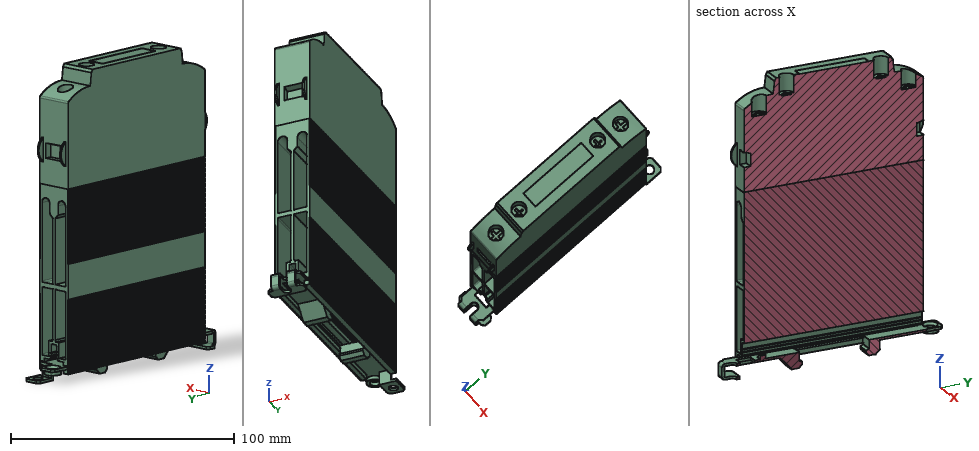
import cadquery as cq
import math

WIDTH = 17.5
DEPTH = 90.2
HEIGHT = 141.8
BRACKET_REACH = 55.0
HALF_WIDTH = WIDTH / 2
HALF_DEPTH = DEPTH / 2

HEATSINK_BOTTOM = 4.1
HEATSINK_TOP = 89.3

SHOULDER_Z = 134.4
SHOULDER_START = 30.5
SHOULDER_RADIUS = 23.4
SHOULDER_EDGE_FILLET = 1.1
BLOCK_BASE_HALF = 30.5
BLOCK_MID_HALF = 29.8
BLOCK_TOP_HALF = 28.9
BLOCK_CORNER_DROP = 1.4
LABEL_SIZE = (8.1, 34.7)
LABEL_DEPTH = 0.1

SCREW_WELL_RADIUS = 3.47
SCREW_WELL_DEPTH = 8.5
CROSS_DEPTH = 0.7
BLOCK_SCREW_Y = 23.7
BLOCK_CROSS_LENGTH = 4.5
BLOCK_CROSS_SLOTS = (1.0, 0.5)
SHOULDER_SCREW_Y = 37.5
SHOULDER_CROSS_LENGTHS = (5.1, 2 * SCREW_WELL_RADIUS)
SHOULDER_CROSS_WIDTH = 1.4

GUARD_RADIUS = 6.8
GUARD_THICKNESS = 0.9
GUARD_X = 6.8
GUARD_Z = 105.2
GUARD_REACH = 48.0
WIRE_OPENING_SIZE = (8.8, 7.0)
WIRE_OPENING_X = 0.4
WIRE_OPENING_BOTTOM = 101.5
WIRE_OPENING_DEPTH = 3.3
WIRE_OPENING_TOP_DROP = 0.9

GROOVE_PITCH = 0.77
GROOVE_COUNT = 45
GROOVE_DEPTH = 0.21

WINDOW_OUTER = 7.2
WEB_HALF = 0.7
WINDOW_FILLET = 0.5
UPPER_LOBE_INNER = 2.5
UPPER_WINDOW_TOP = 83.2
UPPER_NECK_Z = 76.5
UPPER_WINDOW_BOTTOM = 44.2
LOWER_WINDOW_TOP = 42.0
LOWER_NECK_Z = 18.7
LOWER_SHOULDER_INNER = 3.05
LOWER_SHOULDER_Z = 17.9
LOWER_WINDOW_BOTTOM = 10.6

CHANNEL_HALF = 5.88
CHANNEL_TOP = 9.4
SCREW_SLOT_HALF = 1.63
SCREW_SLOT_TOP = 16.6
SCREW_SLOT_FLARE = 1.1
THREAD_PITCH = 1.4
THREAD_COUNT = 2
THREAD_DEPTH = 0.4
THREAD_HALF = 0.21
THREAD_TOP = {-1: 13.3, 1: 12.5}

SHEET = 1.3
PLATE_TOP = 7.8
PLATE_BOTTOM = PLATE_TOP - SHEET
PLATE_HALF = 7.3
RAIL_HALF = 8.0
BEND_RADIUS = 1.7
CORNER = 1.3

FRONT_NECK = -51.6
LIP_END = -47.1
FOOT_SLOT_HALF = 2.0
FOOT_SLOT_END = -48.6
WINDOW_CUT_HALF = 3.9
WINDOW_CUT_Y = (-46.8, -39.7)
BUMP_BASE_HALF = 2.7
BUMP_TOP_HALF = 1.3
BUMP_HEIGHT = 1.7
BUMP_Y = (-36.9, -34.0)
FRONT_HOOK = [
    (-17.2, PLATE_TOP), (-17.2, 3.5), (-15.7, 3.0), (-15.7, 1.7),
    (-17.5, 0), (-21.0, 0), (-21.0 - PLATE_TOP * 0.9, PLATE_TOP),
]
REAR_HOOK = [
    (17.6, PLATE_TOP), (17.6, 3.5), (16.2, 2.7), (16.2, 1.7),
    (17.7, 0), (21.0, 0), (23.3, 2.1), (23.3, PLATE_TOP),
]
HOOK_HALF = CHANNEL_HALF

EAR_INNER_X = 0.3
EAR_HOLE_Y = 50.6
EAR_HOLE = (-4.5, 2.3)
FOOT_HOLE = (4.7, 2.1)
COUNTERSINK_RADIUS = 3.47
COLLAR_RADIUS = 3.76
COLLAR_HEIGHT = 1.8


def box(x_range, y_range, z_range):
    """Axis-aligned box between pairs of coordinates."""
    size = [high - low for low, high in (x_range, y_range, z_range)]
    return cq.Workplane("XY").box(*size, centered=False).translate((x_range[0], y_range[0], z_range[0]))


def along_x(points, half):
    """Outline in Y and Z, extruded symmetrically along X."""
    return cq.Workplane("YZ").polyline(points).close().extrude(half, both=True)


def along_y(sketch, y_range):
    """Closed outline in X and Z, extruded between two Y positions."""
    return sketch.extrude(y_range[0] - y_range[1]).translate((0, y_range[0], 0))


def sheet(points, bottom):
    """Flat sheet-metal piece with an outline in X and Y."""
    return cq.Workplane("XY", origin=(0, 0, bottom)).polyline(points).close().extrude(SHEET)


def cylinder(radius, x, y, bottom, top):
    return cq.Workplane("XY", origin=(x, y, bottom)).circle(radius).extrude(top - bottom)


def housing_shell():
    def shoulder_drop(run):
        return SHOULDER_RADIUS - math.sqrt(SHOULDER_RADIUS**2 - run**2)

    run = HALF_DEPTH - SHOULDER_START
    edge_z = SHOULDER_Z - shoulder_drop(run)
    mid_z = SHOULDER_Z - shoulder_drop(run / 2)
    mid_y = SHOULDER_START + run / 2
    shell = (
        cq.Workplane("YZ")
        .moveTo(-HALF_DEPTH, HEATSINK_TOP)
        .lineTo(HALF_DEPTH, HEATSINK_TOP)
        .lineTo(HALF_DEPTH, edge_z)
        .threePointArc((mid_y, mid_z), (SHOULDER_START, SHOULDER_Z))
        .lineTo(-SHOULDER_START, SHOULDER_Z)
        .threePointArc((-mid_y, mid_z), (-HALF_DEPTH, edge_z))
        .close()
        .extrude(HALF_WIDTH, both=True)
    )
    for side in (-1, 1):
        edge = cq.selectors.NearestToPointSelector((0, side * HALF_DEPTH, edge_z))
        shell = shell.edges(edge).fillet(SHOULDER_EDGE_FILLET)
    right_side = [
        (BLOCK_BASE_HALF, SHOULDER_Z),
        (BLOCK_MID_HALF, HEIGHT - BLOCK_CORNER_DROP),
        (BLOCK_TOP_HALF, HEIGHT),
    ]
    left_side = [(-y, z) for y, z in reversed(right_side)]
    return shell.union(along_x(right_side + left_side, HALF_WIDTH))


def screw_well(y, surface_z, lengths, widths):
    """Round well with a cross recess in its floor, as one cutting body."""
    floor = surface_z - SCREW_WELL_DEPTH
    well = cylinder(SCREW_WELL_RADIUS, 0, y, floor, HEIGHT)
    slots = cq.Workplane("XY", origin=(0, y, floor)).rect(lengths[0], widths[0]).extrude(-CROSS_DEPTH)
    slots = slots.union(
        cq.Workplane("XY", origin=(0, y, floor)).rect(widths[1], lengths[1]).extrude(-CROSS_DEPTH)
    )
    return well.union(slots)


def wire_opening():
    """Pocket in the +Y face with a sloping top."""
    top = WIRE_OPENING_BOTTOM + WIRE_OPENING_SIZE[1]
    inside = HALF_DEPTH - WIRE_OPENING_DEPTH
    outline = [
        (HALF_DEPTH, WIRE_OPENING_BOTTOM),
        (HALF_DEPTH, top),
        (inside, top - WIRE_OPENING_TOP_DROP),
        (inside, WIRE_OPENING_BOTTOM),
    ]
    return along_x(outline, WIRE_OPENING_SIZE[0] / 2).translate((WIRE_OPENING_X, 0, 0))


def guard(x):
    """Disc standing out of the +Y face."""
    return (
        cq.Workplane("YZ", origin=(x, GUARD_REACH - GUARD_RADIUS, GUARD_Z))
        .circle(GUARD_RADIUS)
        .extrude(GUARD_THICKNESS / 2, both=True)
    )


def make_housing():
    body = housing_shell()
    for side in (-1, 1):
        body = body.cut(screw_well(
            side * BLOCK_SCREW_Y, HEIGHT, (BLOCK_CROSS_LENGTH, BLOCK_CROSS_LENGTH), BLOCK_CROSS_SLOTS
        ))
        body = body.cut(screw_well(
            side * SHOULDER_SCREW_Y, SHOULDER_Z, SHOULDER_CROSS_LENGTHS, (SHOULDER_CROSS_WIDTH,) * 2
        ))
    for x in (-GUARD_X, GUARD_X):
        body = body.union(guard(x)).union(guard(x).mirror("XZ"))
    body = body.cut(wire_opening()).cut(wire_opening().mirror("XZ"))
    label = cq.Workplane("XY", origin=(0, 0, HEIGHT)).rect(*LABEL_SIZE).extrude(-LABEL_DEPTH)
    return body.cut(label)


def heatsink_blank():
    """Block whose side faces carry two bands of fine V grooves."""
    band = GROOVE_PITCH * GROOVE_COUNT
    side = []
    for start in (HEATSINK_BOTTOM, HEATSINK_TOP - band):
        for i in range(GROOVE_COUNT):
            z = start + i * GROOVE_PITCH
            side.append((HALF_WIDTH, z))
            side.append((HALF_WIDTH - GROOVE_DEPTH, z + GROOVE_PITCH / 2))
        side.append((HALF_WIDTH, start + band))
    other_side = [(-x, z) for x, z in reversed(side)]
    outline = cq.Workplane("XZ").polyline(side + other_side).close()
    return along_y(outline, (HALF_DEPTH, -HALF_DEPTH))


def upper_window():
    lobe_radius = (WINDOW_OUTER - UPPER_LOBE_INNER) / 2
    lobe_z = UPPER_WINDOW_TOP - lobe_radius
    outline = (
        cq.Workplane("XZ")
        .moveTo(WEB_HALF, UPPER_WINDOW_BOTTOM)
        .lineTo(WINDOW_OUTER, UPPER_WINDOW_BOTTOM)
        .lineTo(WINDOW_OUTER, lobe_z)
        .threePointArc((WINDOW_OUTER - lobe_radius, UPPER_WINDOW_TOP), (UPPER_LOBE_INNER, lobe_z))
        .lineTo(UPPER_LOBE_INNER, UPPER_NECK_Z)
        .lineTo(WEB_HALF, UPPER_NECK_Z - UPPER_LOBE_INNER + WEB_HALF)
        .close()
    )
    window = along_y(outline, (HALF_DEPTH, -HALF_DEPTH))
    corner = cq.selectors.NearestToPointSelector((WINDOW_OUTER, 0, UPPER_WINDOW_BOTTOM))
    return window.edges(corner).fillet(WINDOW_FILLET)


def lower_window():
    outline = cq.Workplane("XZ").polyline([
        (WEB_HALF, LOWER_WINDOW_TOP),
        (WINDOW_OUTER, LOWER_WINDOW_TOP),
        (WINDOW_OUTER, LOWER_WINDOW_BOTTOM),
        (LOWER_SHOULDER_INNER, LOWER_WINDOW_BOTTOM),
        (LOWER_SHOULDER_INNER, LOWER_SHOULDER_Z),
        (LOWER_SHOULDER_INNER - WINDOW_FILLET, LOWER_SHOULDER_Z),
        (WEB_HALF + WINDOW_FILLET, LOWER_SHOULDER_Z),
        (WEB_HALF, LOWER_NECK_Z),
    ]).close()
    return along_y(outline, (HALF_DEPTH, -HALF_DEPTH)).edges("|Y and >X").fillet(WINDOW_FILLET)


def bracket_channel():
    """Underside channel with side grooves for the plates and a threaded slot above it."""
    whole = (-HALF_DEPTH, HALF_DEPTH)
    channel = box((-CHANNEL_HALF, CHANNEL_HALF), whole, (HEATSINK_BOTTOM, CHANNEL_TOP))
    rails = box((-RAIL_HALF, RAIL_HALF), whole, (PLATE_BOTTOM, PLATE_TOP))
    flare_half = SCREW_SLOT_HALF + SCREW_SLOT_FLARE
    half = [
        (flare_half, CHANNEL_TOP),
        (SCREW_SLOT_HALF, CHANNEL_TOP + SCREW_SLOT_FLARE),
        (SCREW_SLOT_HALF, SCREW_SLOT_TOP),
    ]
    outline = cq.Workplane("XZ").polyline(half + [(-x, z) for x, z in reversed(half)]).close()
    slot = along_y(outline, whole[::-1])
    slot = slot.edges("|Y and >Z").fillet(WINDOW_FILLET)
    for side, top in THREAD_TOP.items():
        for i in range(THREAD_COUNT):
            z = top - i * THREAD_PITCH
            notch = cq.Workplane("XZ").polyline([
                (0, z - THREAD_HALF),
                (side * SCREW_SLOT_HALF, z - THREAD_HALF),
                (side * (SCREW_SLOT_HALF + THREAD_DEPTH), z),
                (side * SCREW_SLOT_HALF, z + THREAD_HALF),
                (0, z + THREAD_HALF),
            ]).close()
            slot = slot.union(along_y(notch, whole[::-1]))
    return channel.union(rails).union(slot)


def make_heatsink():
    body = heatsink_blank()
    for window in (upper_window(), lower_window()):
        body = body.cut(window).cut(window.mirror("YZ"))
    return body.cut(bracket_channel())


def make_front_bracket():
    """Slotted foot bent down and back under itself, with a hook inside the channel."""
    outer = -BRACKET_REACH
    inner_end = FRONT_HOOK[0][0]
    loop = box((-CHANNEL_HALF, CHANNEL_HALF), (outer, LIP_END), (0, PLATE_TOP))
    loop = loop.edges("|X and <Y").fillet(BEND_RADIUS)
    gap = box((-CHANNEL_HALF, CHANNEL_HALF), (outer + SHEET, LIP_END), (SHEET, PLATE_BOTTOM))
    loop = loop.cut(gap.edges("|X and <Y").fillet(BEND_RADIUS - SHEET))

    narrow = FRONT_NECK - CORNER
    plate = sheet([
        (-PLATE_HALF, inner_end), (-PLATE_HALF, FRONT_NECK), (-CHANNEL_HALF, narrow),
        (CHANNEL_HALF, narrow), (PLATE_HALF, FRONT_NECK), (PLATE_HALF, inner_end),
    ], PLATE_BOTTOM)
    lip_inner = HALF_WIDTH - CORNER
    lip = sheet([
        (-lip_inner, LIP_END), (-HALF_WIDTH, LIP_END - CORNER), (-HALF_WIDTH, FRONT_NECK),
        (-lip_inner, narrow), (lip_inner, narrow), (HALF_WIDTH, FRONT_NECK),
        (HALF_WIDTH, LIP_END - CORNER), (lip_inner, LIP_END),
    ], 0)
    slot_centre = FOOT_SLOT_END - FOOT_SLOT_HALF
    slot = box((-FOOT_SLOT_HALF, FOOT_SLOT_HALF), (outer, slot_centre), (0, PLATE_TOP))
    slot = slot.union(cylinder(FOOT_SLOT_HALF, 0, slot_centre, 0, PLATE_TOP))
    opening = box((-WINDOW_CUT_HALF, WINDOW_CUT_HALF), WINDOW_CUT_Y, (PLATE_BOTTOM, PLATE_TOP))

    bump = cq.Workplane("XZ").polyline([
        (-BUMP_BASE_HALF, PLATE_TOP), (BUMP_BASE_HALF, PLATE_TOP),
        (BUMP_TOP_HALF, PLATE_TOP + BUMP_HEIGHT), (-BUMP_TOP_HALF, PLATE_TOP + BUMP_HEIGHT),
    ]).close()
    body = loop.union(plate).union(lip).cut(slot).cut(opening)
    return body.union(along_y(bump, BUMP_Y[::-1])).union(along_x(FRONT_HOOK, HOOK_HALF))


def make_rear_bracket():
    """Plate with a raised countersunk ear on -X and a lowered foot on +X."""
    outer = BRACKET_REACH
    web_outer = HALF_DEPTH + SHEET
    plate = box((-PLATE_HALF, PLATE_HALF), (REAR_HOOK[0][0], web_outer), (PLATE_BOTTOM, PLATE_TOP))
    ear = sheet([
        (-HALF_WIDTH, HALF_DEPTH), (-HALF_WIDTH, outer - CORNER), (-HALF_WIDTH + CORNER, outer),
        (-CORNER, outer), (0, outer - CORNER), (0, HALF_DEPTH),
    ], PLATE_BOTTOM)
    foot = sheet([
        (EAR_INNER_X, HALF_DEPTH), (EAR_INNER_X, outer - CORNER), (EAR_INNER_X + CORNER, outer),
        (HALF_WIDTH - CORNER, outer), (HALF_WIDTH, outer - CORNER), (HALF_WIDTH, HALF_DEPTH),
    ], 0)
    web = box((EAR_INNER_X, CHANNEL_HALF), (HALF_DEPTH, web_outer), (0, PLATE_TOP))

    ear_x, ear_radius = EAR_HOLE
    collar_bottom = PLATE_BOTTOM - COLLAR_HEIGHT
    ear = ear.union(cylinder(COLLAR_RADIUS, ear_x, EAR_HOLE_Y, collar_bottom, PLATE_BOTTOM))
    ear = ear.cut(cylinder(ear_radius, ear_x, EAR_HOLE_Y, collar_bottom, PLATE_TOP))
    countersink = cq.Solid.makeCone(
        ear_radius, COUNTERSINK_RADIUS, SHEET, cq.Vector(ear_x, EAR_HOLE_Y, PLATE_BOTTOM)
    )
    ear = ear.cut(cq.Workplane(countersink))
    foot_x, foot_radius = FOOT_HOLE
    foot = foot.cut(cylinder(foot_radius, foot_x, EAR_HOLE_Y, 0, SHEET))
    return plate.union(ear).union(web).union(foot).union(along_x(REAR_HOOK, HOOK_HALF))


housing = make_housing()
heatsink = make_heatsink()
front_bracket = make_front_bracket()
rear_bracket = make_rear_bracket()

result = cq.Compound.makeCompound(
    [housing.val(), heatsink.val(), front_bracket.val(), rear_bracket.val()]
)